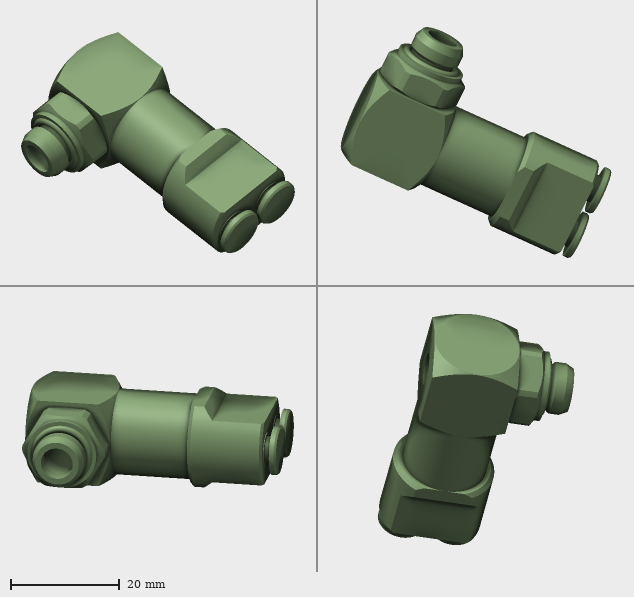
import cadquery as cq
import math

block_side = 16.0
corner_turn_length = 2.3
half_block = block_side / 2
block_corner_radius = half_block * math.sqrt(2)

tube_radius = 7.9
head_start_x = 30.45

head_end_x = 44.5
head_radius = 9.5
head_front_chamfer = 0.75
head_rear_chamfer = 0.45
head_half_height = tube_radius
thin_half_height = 6.05
taper_start_x = 33.0
taper_end_x = 34.9

port_offset_y = 4.75
port_ring_radius = 3.35
port_ring_thickness = 0.15
port_stem_radius = 2.65
flange_radius = 4.47
flange_start_x = 45.85
flange_end_x = 47.1
flange_chamfer_length = 0.4
flange_chamfer_depth = 0.3

spout_x = half_block
bore_radius = 2.95
nut_across_flats = 14.0
nut_corner_radius = 7.75
nut_end_y = -13.05
nut_chamfer_ratio = 0.66
collar_radius = 6.45
collar_end_y = -14.1
seal_centre_radius = 4.95
seal_radius = 0.75
seal_centre_y = -13.9
neck_radius = 4.2
neck_end_y = -15.0
thread_radius = 4.8
thread_start_y = -15.6
thread_end_y = -17.55
tip_radius = 4.1
tip_y = -19.0


def turned_on_x(points):
    """Solid of revolution about the X axis from (x, radius) points."""
    outline = [(points[0][0], 0), *points, (points[-1][0], 0)]
    return cq.Workplane("XY").polyline(outline).close().revolve(360, (0, 0, 0), (1, 0, 0))


def turned_on_spout(profile):
    """Solid of revolution about the Y axis from a (radius, y) wire, moved onto the spout axis."""
    return profile.close().revolve(360, (0, 0, 0), (0, 1, 0)).translate((spout_x, 0, 0))


def elbow_block():
    cube = cq.Workplane("XY").box(block_side, block_side, block_side).translate((half_block, 0, 0))
    envelope = turned_on_x([
        (0, tube_radius),
        (corner_turn_length, block_corner_radius),
        (block_side - corner_turn_length, block_corner_radius),
        (block_side, tube_radius),
    ])
    return cube.intersect(envelope)


def tube():
    return turned_on_x([(half_block, tube_radius), (head_start_x, tube_radius)])


def head():
    round_body = turned_on_x([
        (head_start_x, head_radius - head_front_chamfer),
        (head_start_x + head_front_chamfer, head_radius),
        (head_end_x - head_rear_chamfer, head_radius),
        (head_end_x, head_radius - head_rear_chamfer),
    ])
    upper_edge = [
        (head_start_x, head_half_height),
        (taper_start_x, head_half_height),
        (taper_end_x, thin_half_height),
        (head_end_x, thin_half_height),
    ]
    lower_edge = [(x, -z) for x, z in reversed(upper_edge)]
    side_outline = (
        cq.Workplane("XZ").polyline(upper_edge + lower_edge).close().extrude(head_radius, both=True)
    )
    return round_body.intersect(side_outline)


def port():
    ring_end_x = head_end_x + port_ring_thickness
    return turned_on_x([
        (taper_end_x, port_ring_radius),
        (ring_end_x, port_ring_radius),
        (ring_end_x, port_stem_radius),
        (flange_start_x, port_stem_radius),
        (flange_start_x, flange_radius),
        (flange_end_x - flange_chamfer_length, flange_radius),
        (flange_end_x, flange_radius - flange_chamfer_depth),
    ])


def nut():
    nut_start_y = -half_block
    flat_radius = nut_across_flats / 2
    nut_across_corners = nut_across_flats / math.cos(math.pi / 6)
    upper_chamfer_length = (nut_corner_radius - flat_radius) * nut_chamfer_ratio
    lower_chamfer_length = (nut_corner_radius - collar_radius) * nut_chamfer_ratio
    hexagon = (
        cq.Workplane("XZ", origin=(spout_x, nut_start_y, 0))
        .polygon(6, nut_across_corners)
        .extrude(nut_start_y - nut_end_y)
    )
    envelope = turned_on_spout(cq.Workplane("XY").polyline([
        (0, nut_start_y),
        (flat_radius, nut_start_y),
        (nut_corner_radius, nut_start_y - upper_chamfer_length),
        (nut_corner_radius, nut_end_y + lower_chamfer_length),
        (collar_radius, nut_end_y),
        (0, nut_end_y),
    ]))
    return hexagon.intersect(envelope)


def spout():
    seal_half_width = math.sqrt(seal_radius**2 - (seal_centre_y - collar_end_y) ** 2)
    profile = (
        cq.Workplane("XY")
        .moveTo(0, 0)
        .lineTo(collar_radius, 0)
        .lineTo(collar_radius, collar_end_y)
        .lineTo(seal_centre_radius + seal_half_width, collar_end_y)
        .threePointArc(
            (seal_centre_radius, seal_centre_y - seal_radius),
            (seal_centre_radius - seal_half_width, collar_end_y),
        )
        .lineTo(neck_radius, collar_end_y)
        .lineTo(neck_radius, neck_end_y)
        .lineTo(thread_radius, thread_start_y)
        .lineTo(thread_radius, thread_end_y)
        .lineTo(tip_radius, tip_y)
        .lineTo(0, tip_y)
    )
    return turned_on_spout(profile)


def bore():
    """Straight hole from the spout tip through the far side of the block."""
    return cq.Workplane("XZ", origin=(spout_x, half_block, 0)).circle(bore_radius).extrude(half_block - tip_y)


result = elbow_block().union(tube()).union(head())
for side in (1, -1):
    result = result.union(port().translate((0, side * port_offset_y, 0)))
result = result.union(nut()).union(spout()).cut(bore())